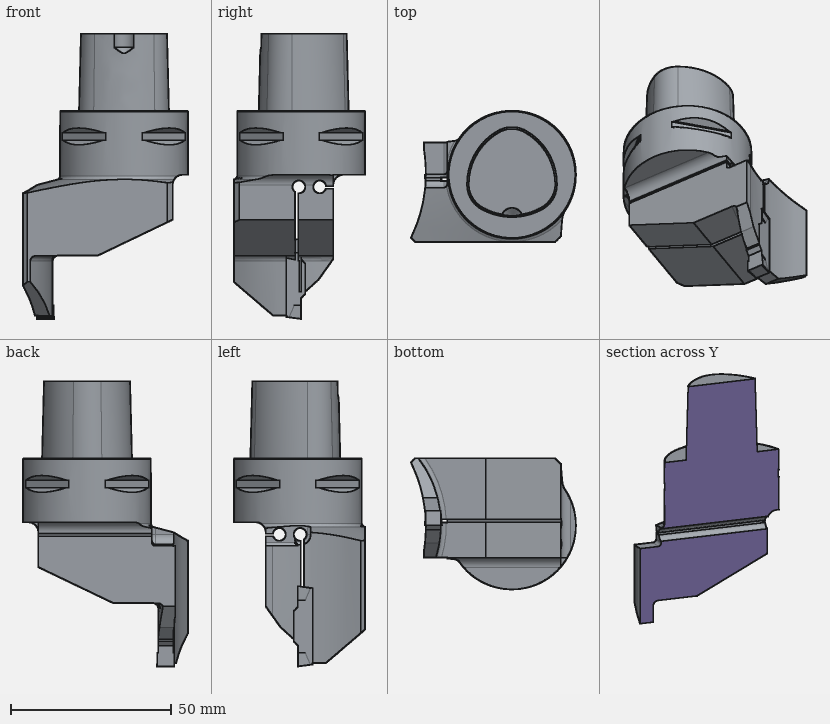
import cadquery as cq
import math


FLANGE_DIAMETER = 40.0
FLANGE_RADIUS = FLANGE_DIAMETER / 2
FLANGE_HEIGHT = 20.0
FLANGE_CHAMFER = 0.3

SHANK_LENGTH = 24.0
SHANK_RADIUS = 14.1
SHANK_LOBE = 0.8
SHANK_LOBE_COUNT = 3
LOBE_HALF_ANGLE = 28.0
SHANK_TAPER = 1 / 40
KEYWAY_RADIUS = 3.3
KEYWAY_AXIS_Y = -13.6
KEYWAY_DEPTH = 4.3
KEYWAY_TIP = 2.5

GROOVE_COUNT = 4
GROOVE_Z = -8.0
GROOVE_FLOOR_RADIUS = 17.5
GROOVE_LIP_RADIUS = 18.0
GROOVE_FLOOR_WIDTH = 2.4
GROOVE_MOUTH_WIDTH = 5.25

FRONT_Y = -21.0
BACK_Y = 10.1
RIGHT_X = 15.2
CORNER_CHAMFER = 1.8
BLOCK_BOTTOM_Z = -45.2
SLOPE_START_X = -8.2
SLOPE_END_Z = -34.0
FLARE_RADIUS = 3.0

SHOULDER_ANGLE = 15.0
SHOULDER_RADIUS = 20.8
SHOULDER_Z = -21.4
NECK_START_Z = -20.3
SHOULDER_OUTER_RADIUS = 44.5

OUTER_CORNER_X = -31.5
OUTER_CORNER_Y = -19.7
OUTER_CHAMFER = 1.3
OUTER_MID_X = -26.9
OUTER_MID_Y = 0.6
OUTER_FLAT_X = -27.5
OUTER_FLAT_Y = 8.0
INNER_FRONT_X = -29.2
INNER_MID_X = -22.2
BLADE_BOTTOM_Z = -63.9
BLADE_FILLET = 1.6
BLADE_SLOPE_TOP_Z = -53.4
BLADE_SLOPE_END_Y = -8.7

JAW_LOWER_Z = -46.2
JAW_KNEE_Y = 5.4
JAW_KNEE_Z = -52.7
JAW_TIP_Z = -56.4
JAW_LEDGE_Z = -27.3
JAW_WALL_X = -20.2
JAW_FILLET = 1.1
JAW_HOLE_RADIUS = 2.0
JAW_HOLE_Z = -23.8
FRONT_HOLE_Y = -0.7
BACK_HOLE_Y = 5.8
RELIEF_RADIUS = 3.3
LEDGE_START_Y = 0.1
FRONT_SLIT_Y = -1.4
FRONT_SLIT_WIDTH = 1.0
BACK_SLIT_Z = -23.9
BACK_SLIT_WIDTH = 0.7

INSERT_MID_Z = -52.4
INSERT_EDGE_LENGTH = 25.1
INSERT_BASE_LENGTH = 23.85
INSERT_BASE_Y = -4.6
INSERT_RIDGE_Y = 1.3
INSERT_RIDGE_LENGTH = 9.35
INSERT_RIDGE_BASE_LENGTH = 12.1
INSERT_LEFT_X = OUTER_MID_X
INSERT_RIGHT_X = INNER_MID_X
HEAD_LENGTH = 4.4
HEAD_TIP_WIDTH = 0.4
HEAD_TIP_DEPTH = 3.8
HEAD_HEEL_WIDTH = 0.3
HEAD_HEEL_DEPTH = 2.2

REACH = 53.4


def lobed_outline(z):
    """Outline of the shank at height z: an arc over each lobe and an arc between lobes, one lobe at +Y."""
    mean_radius = SHANK_RADIUS - SHANK_TAPER * z
    pitch = 360 / SHANK_LOBE_COUNT

    def point(lobe, angle):
        """Point whose outward normal lies at an angle, in degrees, from the tip of a lobe."""
        normal = math.radians(angle)
        offset = mean_radius + SHANK_LOBE * math.cos(SHANK_LOBE_COUNT * normal)
        turn = -SHANK_LOBE_COUNT * SHANK_LOBE * math.sin(SHANK_LOBE_COUNT * normal)
        direction = math.radians(90 + lobe * pitch + angle)
        return (
            offset * math.cos(direction) - turn * math.sin(direction),
            offset * math.sin(direction) + turn * math.cos(direction),
        )

    outline = cq.Workplane("XY", origin=(0, 0, z)).moveTo(*point(0, -LOBE_HALF_ANGLE))
    for lobe in range(SHANK_LOBE_COUNT):
        outline = outline.threePointArc(point(lobe, 0), point(lobe, LOBE_HALF_ANGLE))
        outline = outline.threePointArc(point(lobe, pitch / 2), point(lobe, pitch - LOBE_HALF_ANGLE))
    return outline.close().val()


def make_shank():
    """Tapered shank with a round keyway, ending in a conical tip, in its -Y side."""
    outlines = [lobed_outline(0), lobed_outline(SHANK_LENGTH)]
    shank = cq.Workplane(cq.Solid.makeLoft(outlines, True))
    shoulder_z = SHANK_LENGTH - KEYWAY_DEPTH
    keyway = (
        cq.Workplane("XZ", origin=(0, KEYWAY_AXIS_Y, 0))
        .moveTo(0, shoulder_z - KEYWAY_TIP)
        .lineTo(KEYWAY_RADIUS, shoulder_z)
        .lineTo(KEYWAY_RADIUS, SHANK_LENGTH)
        .lineTo(0, SHANK_LENGTH)
        .close()
        .revolve(360, (0, 0), (0, 1))
    )
    return shank.cut(keyway)


def make_flange():
    """Chamfered flange with flared gripper grooves."""
    flange = (
        cq.Workplane("XY")
        .circle(FLANGE_RADIUS)
        .extrude(-FLANGE_HEIGHT)
        .faces(">Z")
        .edges()
        .chamfer(FLANGE_CHAMFER)
    )
    slope = (GROOVE_MOUTH_WIDTH - GROOVE_FLOOR_WIDTH) / 2 / (FLANGE_RADIUS - GROOVE_LIP_RADIUS)
    outside = FLANGE_RADIUS + 0.9
    half_floor = GROOVE_FLOOR_WIDTH / 2
    half_outside = half_floor + slope * (outside - GROOVE_LIP_RADIUS)
    groove = (
        cq.Workplane("XZ")
        .polyline([
            (GROOVE_FLOOR_RADIUS, GROOVE_Z - half_floor),
            (GROOVE_LIP_RADIUS, GROOVE_Z - half_floor),
            (outside, GROOVE_Z - half_outside),
            (outside, GROOVE_Z + half_outside),
            (GROOVE_LIP_RADIUS, GROOVE_Z + half_floor),
            (GROOVE_FLOOR_RADIUS, GROOVE_Z + half_floor),
        ])
        .close()
        .extrude(FLANGE_RADIUS, both=True)
    )
    step = 360 / GROOVE_COUNT
    for index in range(GROOVE_COUNT):
        flange = flange.cut(groove.rotate((0, 0, 0), (0, 0, 1), (index + 0.5) * step))
    return flange


def outer_face(start):
    """Trace the front corner, concave outer face and back flat of the blade, ending at the back."""
    return (
        start.lineTo(OUTER_CORNER_X + OUTER_CHAMFER, FRONT_Y)
        .lineTo(OUTER_CORNER_X, OUTER_CORNER_Y)
        .threePointArc((OUTER_MID_X, OUTER_MID_Y), (OUTER_FLAT_X, OUTER_FLAT_Y))
        .lineTo(OUTER_FLAT_X, BACK_Y)
    )


def make_block():
    """Block between shoulder and blade, with its sloping lower right side."""
    start = cq.Workplane("XY", origin=(0, 0, BLOCK_BOTTOM_Z)).moveTo(RIGHT_X - CORNER_CHAMFER, FRONT_Y)
    block = (
        outer_face(start)
        .lineTo(RIGHT_X, BACK_Y)
        .lineTo(RIGHT_X, FRONT_Y + CORNER_CHAMFER)
        .close()
        .extrude(-FLANGE_HEIGHT - BLOCK_BOTTOM_Z)
    )
    slope = (
        cq.Workplane("XZ")
        .moveTo(SLOPE_START_X, BLOCK_BOTTOM_Z)
        .lineTo(RIGHT_X, SLOPE_END_Z)
        .lineTo(RIGHT_X, BLOCK_BOTTOM_Z)
        .close()
        .extrude(REACH, both=True)
    )
    return block.cut(slope)


def make_blade():
    """Curved blade of full width, hanging below the block."""
    drop_rate = (INNER_MID_X - INNER_FRONT_X) / FRONT_Y**2
    inner_back_x = INNER_MID_X - drop_rate * BACK_Y**2
    start = cq.Workplane("XY", origin=(0, 0, BLADE_BOTTOM_Z)).moveTo(INNER_FRONT_X, FRONT_Y)
    return (
        outer_face(start)
        .lineTo(inner_back_x, BACK_Y)
        .threePointArc((INNER_MID_X, 0), (INNER_FRONT_X, FRONT_Y))
        .close()
        .extrude(BLOCK_BOTTOM_Z - BLADE_BOTTOM_Z)
    )


def blade_side_outline():
    """Side outline that shapes the front slope of the blade and the tapering jaw."""
    return (
        cq.Workplane("YZ")
        .polyline([
            (FRONT_Y, 0),
            (FRONT_Y, BLADE_SLOPE_TOP_Z),
            (BLADE_SLOPE_END_Y, BLADE_BOTTOM_Z),
            (INSERT_BASE_Y, BLADE_BOTTOM_Z),
            (INSERT_BASE_Y, JAW_TIP_Z),
            (INSERT_RIDGE_Y, JAW_TIP_Z),
            (JAW_KNEE_Y, JAW_KNEE_Z),
            (BACK_Y, JAW_LOWER_Z),
            (BACK_Y, 0),
        ])
        .close()
        .extrude(REACH, both=True)
    )


def flare(plane, wall, length):
    """Concave fillet strip between the flange underside and a flat wall of the block."""
    arc_drop = FLARE_RADIUS * (1 - math.sqrt(0.5))
    return (
        cq.Workplane(plane)
        .moveTo(wall, -FLANGE_HEIGHT)
        .lineTo(wall + FLARE_RADIUS, -FLANGE_HEIGHT)
        .threePointArc(
            (wall + arc_drop, -FLANGE_HEIGHT - arc_drop),
            (wall, -FLANGE_HEIGHT - FLARE_RADIUS),
        )
        .close()
        .extrude(length)
    )


def make_shoulder_envelope():
    """Solid of revolution under the flange: neck fillet, then a shallow cone."""
    slope = math.tan(math.radians(SHOULDER_ANGLE))
    rim_z = SHOULDER_Z - slope * (SHOULDER_OUTER_RADIUS - SHOULDER_RADIUS)
    floor_z = BLADE_BOTTOM_Z - 0.9
    return (
        cq.Workplane("XZ")
        .moveTo(0, -FLANGE_HEIGHT)
        .lineTo(FLANGE_RADIUS, -FLANGE_HEIGHT)
        .lineTo(FLANGE_RADIUS, NECK_START_Z)
        .spline(
            [(SHOULDER_RADIUS, SHOULDER_Z)],
            tangents=[(0, -1), (1, -slope)],
            includeCurrent=True,
        )
        .lineTo(SHOULDER_OUTER_RADIUS, rim_z)
        .lineTo(SHOULDER_OUTER_RADIUS, floor_z)
        .lineTo(0, floor_z)
        .close()
        .revolve(360, (0, 0), (0, 1))
    )


def cross_hole(y):
    """Cutter for a hole through the holder along X."""
    return cq.Workplane("YZ", origin=(0, y, JAW_HOLE_Z)).circle(JAW_HOLE_RADIUS).extrude(REACH, both=True)


def box(x_range, y_range, z_range):
    """Box spanning a (low, high) range along each axis."""
    ranges = (x_range, y_range, z_range)
    size = [high - low for low, high in ranges]
    return cq.Workplane("XY").box(*size, centered=False).translate([low for low, high in ranges])


def make_jaw_ledge():
    """Recess over the jaw: a ledge and a round relief at the front hole, filleted along the back wall."""
    x_range = (-REACH, JAW_WALL_X)
    ledge = box(x_range, (LEDGE_START_Y, REACH), (JAW_LEDGE_Z, 0))
    above_relief = box(x_range, (FRONT_HOLE_Y - RELIEF_RADIUS, LEDGE_START_Y), (JAW_HOLE_Z, 0))
    relief = (
        cq.Workplane("YZ", origin=(JAW_WALL_X, FRONT_HOLE_Y, JAW_HOLE_Z))
        .circle(RELIEF_RADIUS)
        .extrude(-REACH - JAW_WALL_X)
    )
    return ledge.union(above_relief).union(relief).faces(">X").edges().fillet(JAW_FILLET)


def cut_clamping_slits(holder):
    """Two cross holes and the slits that free the jaw from the block."""
    for hole_y in (FRONT_HOLE_Y, BACK_HOLE_Y):
        holder = holder.cut(cross_hole(hole_y))
    half_front = FRONT_SLIT_WIDTH / 2
    half_back = BACK_SLIT_WIDTH / 2
    front_slit = box(
        (-REACH, REACH),
        (FRONT_SLIT_Y - half_front, FRONT_SLIT_Y + half_front),
        (INSERT_MID_Z, JAW_HOLE_Z),
    )
    back_slit = box(
        (-REACH, REACH),
        (BACK_HOLE_Y, FLANGE_RADIUS),
        (BACK_SLIT_Z - half_back, BACK_SLIT_Z + half_back),
    )
    return holder.cut(front_slit).cut(back_slit)


def insert_profile(right_x, left_x):
    """Side outline of the insert, extruded from right_x to left_x."""
    half_outline = [
        (INSERT_BASE_Y, INSERT_BASE_LENGTH / 2),
        (0, INSERT_EDGE_LENGTH / 2),
        (0, INSERT_RIDGE_BASE_LENGTH / 2),
        (INSERT_RIDGE_Y, INSERT_RIDGE_LENGTH / 2),
    ]
    mirrored = [(y, -z) for y, z in reversed(half_outline)]
    return (
        cq.Workplane("YZ", origin=(right_x, 0, INSERT_MID_Z))
        .polyline(half_outline + mirrored)
        .close()
        .extrude(left_x - right_x)
    )


def head_wing(side_x, outward, end):
    """Tapered side wing that widens one cutting edge; outward and end are +1 or -1."""
    tip_z = INSERT_MID_Z + end * INSERT_BASE_LENGTH / 2
    heel_z = INSERT_MID_Z + end * (INSERT_EDGE_LENGTH / 2 - HEAD_LENGTH)

    def triangle(width, depth, edge_z, base_z):
        points = [(side_x, 0, edge_z), (side_x + outward * width, 0, edge_z), (side_x, -depth, base_z)]
        return cq.Wire.makePolygon([cq.Vector(*point) for point in points], close=True)

    edge_z = INSERT_MID_Z + end * INSERT_EDGE_LENGTH / 2
    tip = triangle(HEAD_TIP_WIDTH, HEAD_TIP_DEPTH, edge_z, tip_z)
    heel = triangle(HEAD_HEEL_WIDTH, HEAD_HEEL_DEPTH, heel_z, heel_z)
    return cq.Workplane(cq.Solid.makeLoft([tip, heel], True))


def make_insert():
    """Cutting insert with a widened head at each end."""
    insert = insert_profile(INSERT_RIGHT_X, INSERT_LEFT_X)
    for side_x, outward in ((INSERT_LEFT_X, -1), (INSERT_RIGHT_X, 1)):
        for end in (-1, 1):
            insert = insert.union(head_wing(side_x, outward, end))
    return insert.solids()


def make_holder(insert):
    """Holder with shank, flange, block and blade, and a pocket open to -X that seats the insert."""
    block = make_block().union(make_blade())
    inner_corner = cq.NearestToPointSelector((INNER_MID_X, 0, BLOCK_BOTTOM_Z))
    block = block.edges(inner_corner).fillet(BLADE_FILLET)
    block = block.intersect(blade_side_outline())
    right_flare = flare("XZ", RIGHT_X, BACK_Y - FRONT_Y - CORNER_CHAMFER).translate((0, BACK_Y, 0))
    back_flare = flare("YZ", BACK_Y, RIGHT_X - OUTER_FLAT_X).translate((OUTER_FLAT_X, 0, 0))
    block = block.union(right_flare).union(back_flare)
    block = block.intersect(make_shoulder_envelope())
    block = block.cut(make_jaw_ledge())
    block = cut_clamping_slits(block)
    pocket = insert_profile(INSERT_RIGHT_X, -REACH)
    block = block.cut(pocket).cut(insert)
    return block.union(make_flange()).union(make_shank()).solids()


insert = make_insert()
holder = make_holder(insert)

result = cq.Compound.makeCompound([holder.val(), insert.val()])